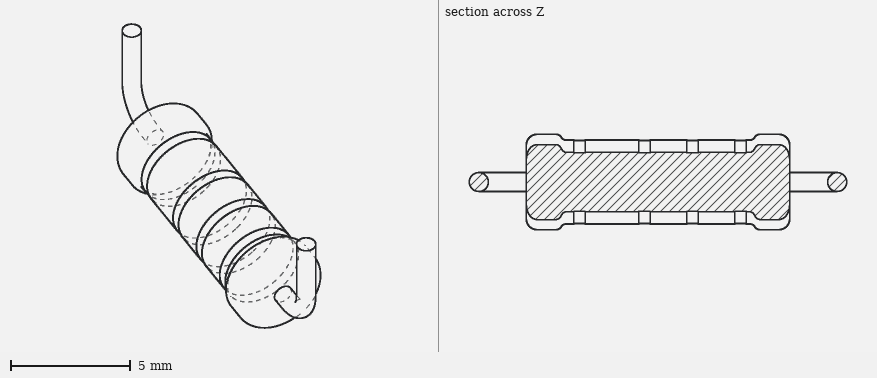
import cadquery as cq
import math

overall_length = 15.8
overall_height = 6.45
body_length = 11.0
cap_diameter = 4.0
barrel_diameter = 3.5
lead_diameter = 0.8

rim_radius = 0.47
shoulder_outer = 4.27
shoulder_middle = 4.03
shoulder_inner = 3.82

band_diameter = 3.48
band_width = 0.47
band_centers = (-3.27, -0.57, 1.44, 3.45)

bend_radius = 1.49

half_body = body_length / 2
cap_radius = cap_diameter / 2
barrel_radius = barrel_diameter / 2
lead_x = (overall_length - lead_diameter) / 2
lead_top = overall_height - cap_radius


def make_barrel():
    return cq.Workplane("YZ").circle(barrel_radius).extrude(shoulder_outer, both=True)


def make_cap():
    """Revolve the +X cap; two tangent arcs form its shoulder."""
    run = shoulder_outer - shoulder_inner
    drop = cap_radius - barrel_radius
    sweep_angle = 2 * math.atan(drop / run)
    convex_radius = (shoulder_outer - shoulder_middle) / math.sin(sweep_angle)
    middle_radius = cap_radius - convex_radius * (1 - math.cos(sweep_angle))
    profile = (
        cq.Workplane("XY")
        .moveTo(shoulder_inner, 0)
        .lineTo(half_body, 0)
        .lineTo(half_body, cap_radius - rim_radius)
        .tangentArcPoint((half_body - rim_radius, cap_radius), relative=False)
        .lineTo(shoulder_outer, cap_radius)
        .tangentArcPoint((shoulder_middle, middle_radius), relative=False)
        .tangentArcPoint((shoulder_inner, barrel_radius), relative=False)
        .close()
    )
    return profile.revolve(360, (0, 0, 0), (1, 0, 0))


def make_band_groove(center):
    return (
        cq.Workplane("YZ", origin=(center - band_width / 2, 0, 0))
        .circle(cap_radius)
        .circle(band_diameter / 2)
        .extrude(band_width)
    )


def make_lead():
    """Sweep the +X lead from inside the cap, round the bend and up."""
    bend_start = lead_x - bend_radius
    path = (
        cq.Workplane("XZ")
        .moveTo(shoulder_inner, 0)
        .lineTo(bend_start, 0)
        .tangentArcPoint((lead_x, bend_radius), relative=False)
        .lineTo(lead_x, lead_top)
    )
    section = cq.Workplane("YZ", origin=(shoulder_inner, 0, 0)).circle(lead_diameter / 2)
    return section.sweep(path)


right_end = make_cap().union(make_lead())
result = make_barrel().union(right_end).union(right_end.mirror("YZ"))
for band_center in band_centers:
    result = result.cut(make_band_groove(band_center))